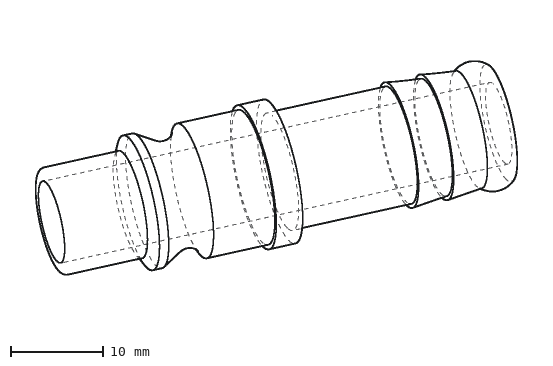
import cadquery as cq
import math

length = 51.0
bore_radius = 4.55

plug_radius = 5.95
tip_round = 0.5
collar_start = 9.0
collar_rim_start = 9.85
body_radius = 7.5

groove_radius = 2.0
groove_floor_radius = plug_radius
groove_center_y = 14.1
collar_cone_angle = math.radians(30)

flange_start = 23.0
flange_end = 26.0
flange_radius = 8.0

hose_radius = 6.55
barb_radius = 7.0
barb_start = 39.6
barb_count = 2
bead_start = 47.6
bead_radius = 7.2
barb_length = (bead_start - barb_start) / barb_count

groove_center_r = groove_floor_radius + groove_radius
cone_end = (
    groove_center_r - groove_radius * math.cos(collar_cone_angle),
    groove_center_y - groove_radius * math.sin(collar_cone_angle),
)
collar_rim_end = cone_end[1] - (body_radius - cone_end[0]) / math.tan(collar_cone_angle)
body_start = groove_center_y + math.sqrt(groove_radius**2 - (groove_center_r - body_radius) ** 2)

profile = (
    cq.Workplane("XY")
    .moveTo(bore_radius, 0)
    .lineTo(plug_radius - tip_round, 0)
    .radiusArc((plug_radius, tip_round), -tip_round)
    .lineTo(plug_radius, collar_start)
    .lineTo(body_radius, collar_rim_start)
    .lineTo(body_radius, collar_rim_end)
    .lineTo(*cone_end)
    .threePointArc((groove_floor_radius, groove_center_y), (body_radius, body_start))
    .lineTo(body_radius, flange_start)
)

profile = (
    profile.lineTo(flange_radius, flange_start)
    .lineTo(flange_radius, flange_end)
    .lineTo(hose_radius, flange_end)
    .lineTo(hose_radius, barb_start)
)

for index in range(barb_count):
    step_y = barb_start + index * barb_length
    profile = profile.lineTo(barb_radius, step_y).lineTo(hose_radius, step_y + barb_length)

bead_middle = (bead_start + length) / 2
profile = (
    profile.threePointArc((bead_radius, bead_middle), (hose_radius, length))
    .lineTo(bore_radius, length)
    .close()
)

result = profile.revolve(360, (0, 0, 0), (0, 1, 0))